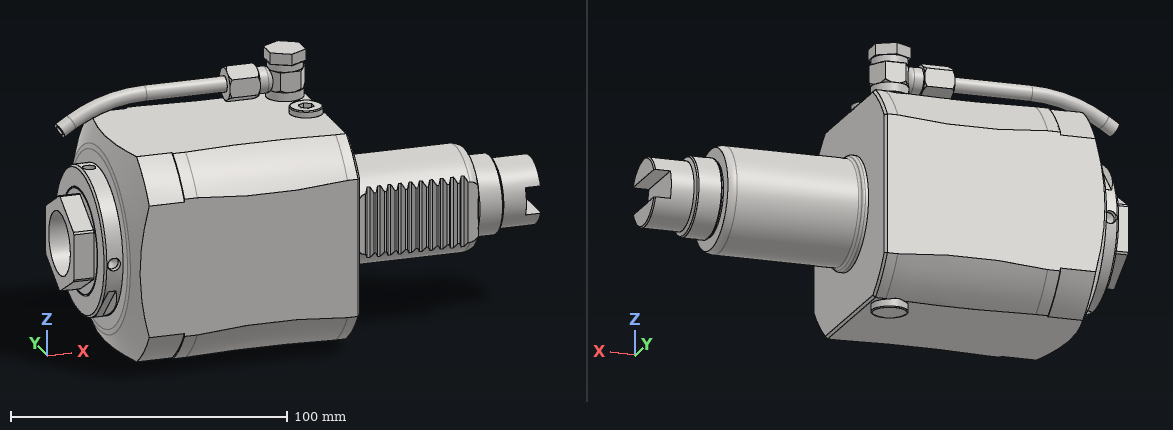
import cadquery as cq
import math


BLOCK_WIDTH = 79.0
BLOCK_LENGTH = 86.9
FACE_RADIUS = 33.0
FACE_EDGE_RADIUS = 35.0
FACE_EDGE_DEPTH = 0.4
CONE_LENGTH = 6.1
FRONT_BARREL_RADIUS = 46.9
REAR_BARREL_RADIUS = 47.5
WAIST_RADIUS = 46.6
BARREL_STEP_X = -67.3
WAIST_FRONT_X = -62.4
WAIST_REAR_X = -4.9
REAR_CHAMFER = 0.9

RING_RADIUS = 28.0
RING_LENGTH = 7.0
RING_CHAMFER = 0.8
RING_BORE_RADIUS = 20.0
RING_HOLE_DIAMETER = 4.8
RING_HOLE_DEPTH = 2.4
RING_HOLE_POINT_DEPTH = 1.4
RING_HOLE_SETBACK = 3.6
RING_SLOT_FLOOR_DISTANCE = 26.0
RING_SLOT_FLOOR_WIDTH = 2.8
RING_SLOT_MOUTH_WIDTH = 6.0

SPINDLE_RADIUS = 19.5
HEX_ACROSS_FLATS = 32.0
HEX_CORNER_RADIUS = 18.2
HEX_LENGTH = 7.7
SPINDLE_BORE_RADIUS = 12.0
SPINDLE_BORE_DEPTH = 12.0

SHOULDER_RADIUS = 21.4
SHOULDER_LENGTH = 1.2
SHANK_RADIUS = 20.0
SHANK_START_X = 3.3
SHANK_TAPER_X = 49.9
SHANK_END_X = 53.1
SHANK_END_RADIUS = 19.0
SHANK_END_ROUND = 5.7
COLLAR_RADIUS = 15.0
COLLAR_START_X = 53.7
COLLAR_END_X = 63.3
COLLAR_CHAMFER = 0.5
NECK_RADIUS = 14.2
TANG_RADIUS = 13.0
TANG_START_X = 64.0
TANG_END_X = 78.9
TANG_CHAMFER = 0.5
TANG_SLOT_WIDTH = 10.4
TANG_SLOT_DEPTH = 6.2

RACK_FLAT_Y = -16.3
RACK_RUNOUT_START_X = 5.2
RACK_FLAT_START_X = 9.8
RACK_RUNOUT_SAG = 0.9
GROOVE_COUNT = 10
GROOVE_PITCH = 4.0
FIRST_GROOVE_X = 11.6
GROOVE_DEPTH = 1.6
GROOVE_MOUTH_WIDTH = 3.2
GROOVE_FLOOR_WIDTH = 1.0

BOLT_X = -8.6
BOLT_Y = 19.9
BOLT_SHANK_RADIUS = 6.75
BOLT_TOP_Z = 57.9
BOLT_HEAD_HEIGHT = 4.4
BOLT_ACROSS_FLATS = 13.8
BOLT_TAIL_LENGTH = 3.0
BOLT_TAIL_CHAMFER = 0.4
ELBOW_ACROSS_FLATS = 13.7
ELBOW_BOTTOM_Z = 42.9
ELBOW_TOP_Z = 50.7
ELBOW_FOOT_RADIUS = 7.0
ELBOW_CHAMFER_HEIGHT = 1.0
STUB_RADIUS = 5.0
STUB_END_RADIUS = 3.8
STUB_CHAMFER_X = -16.4
STUB_END_X = -14.4
TUBE_Z = 46.5
TUBE_RADIUS = 3.0
TUBE_BORE_RADIUS = 1.8
TUBE_BORE_DEPTH = 5.0
NUT_ACROSS_FLATS = 12.0
NUT_FRONT_X = -31.6
NUT_REAR_X = -20.0
NUT_CHAMFER = 0.8
BEND_START_X = -62.4
BEND_RADIUS = 60.0
BEND_ANGLE = 29.0
BEND_TILT = 21.0
TUBE_TIP_LENGTH = 5.2

PLUG_X = -7.2
PLUG_RADIUS = 6.2
PLUG_HEIGHT = 2.6
PLUG_CHAMFER = 0.4
PLUG_SOCKET_ACROSS_FLATS = 5.0
PLUG_SOCKET_DEPTH = 2.0

HALF_WIDTH = BLOCK_WIDTH / 2
BLOCK_FRONT_X = -BLOCK_LENGTH
RING_FRONT_X = BLOCK_FRONT_X - RING_LENGTH
CONE_END_X = BLOCK_FRONT_X + CONE_LENGTH


def hex_corner_diameter(across_flats):
    return 2 * across_flats / math.sqrt(3)


def turned(profile):
    """Revolve a closed profile, drawn as (x, radius), about the X axis."""
    return profile.close().revolve(360, (0, 0, 0), (1, 0, 0))


def rod(start_x, end_x, radius, y=0.0, z=0.0):
    """Cylinder parallel to X."""
    return cq.Workplane("YZ", origin=(start_x, y, z)).circle(radius).extrude(end_x - start_x)


def make_block():
    waist_mid_x = (WAIST_FRONT_X + WAIST_REAR_X) / 2
    barrel = turned(
        cq.Workplane("XY")
        .moveTo(BLOCK_FRONT_X, 0)
        .lineTo(BLOCK_FRONT_X, FACE_RADIUS)
        .lineTo(BLOCK_FRONT_X + FACE_EDGE_DEPTH, FACE_EDGE_RADIUS)
        .lineTo(CONE_END_X, FRONT_BARREL_RADIUS)
        .lineTo(BARREL_STEP_X, FRONT_BARREL_RADIUS)
        .lineTo(BARREL_STEP_X, REAR_BARREL_RADIUS)
        .lineTo(WAIST_FRONT_X, REAR_BARREL_RADIUS)
        .threePointArc((waist_mid_x, WAIST_RADIUS), (WAIST_REAR_X, REAR_BARREL_RADIUS))
        .lineTo(0, REAR_BARREL_RADIUS)
        .lineTo(0, 0)
    )
    bar = cq.Workplane("YZ").rect(BLOCK_WIDTH, BLOCK_WIDTH).extrude(-BLOCK_LENGTH)
    return bar.intersect(barrel).faces(">X").edges().chamfer(REAR_CHAMFER)


def make_ring():
    ring = rod(RING_FRONT_X, BLOCK_FRONT_X, RING_RADIUS).faces("<X").edges().chamfer(RING_CHAMFER)
    wrench_x = RING_FRONT_X + RING_HOLE_SETBACK
    hole_radius = RING_HOLE_DIAMETER / 2
    shoulder_z = RING_RADIUS - RING_HOLE_DEPTH
    hole = (
        cq.Workplane("XZ")
        .moveTo(0, shoulder_z - RING_HOLE_POINT_DEPTH)
        .lineTo(hole_radius, shoulder_z)
        .lineTo(hole_radius, shoulder_z + 2 * RING_HOLE_DEPTH)
        .lineTo(0, shoulder_z + 2 * RING_HOLE_DEPTH)
        .close()
        .revolve(360, (0, 0, 0), (0, 1, 0))
        .translate((wrench_x, 0, 0))
    )
    slot_depth = RING_RADIUS - RING_SLOT_FLOOR_DISTANCE
    slot = (
        cq.Workplane("XZ", origin=(wrench_x, RING_RADIUS, RING_SLOT_FLOOR_DISTANCE))
        .moveTo(-RING_SLOT_FLOOR_WIDTH / 2, 0)
        .lineTo(RING_SLOT_FLOOR_WIDTH / 2, 0)
        .lineTo(RING_SLOT_MOUTH_WIDTH / 2, slot_depth)
        .lineTo(-RING_SLOT_MOUTH_WIDTH / 2, slot_depth)
        .close()
        .extrude(2 * RING_RADIUS)
    )
    for quarter in range(4):
        ring = ring.cut(hole.rotate((0, 0, 0), (1, 0, 0), 90 * quarter))
    for angle in (-45, 135):
        ring = ring.cut(slot.rotate((0, 0, 0), (1, 0, 0), angle))
    return ring


def make_shank():
    blend_middle = ((SHOULDER_LENGTH + SHANK_START_X) / 2, (SHOULDER_RADIUS + SHANK_RADIUS) / 2)
    shank = turned(
        cq.Workplane("XY")
        .moveTo(0, 0)
        .lineTo(0, SHOULDER_RADIUS)
        .lineTo(SHOULDER_LENGTH, SHOULDER_RADIUS)
        .tangentArcPoint(blend_middle, relative=False)
        .tangentArcPoint((SHANK_START_X, SHANK_RADIUS), relative=False)
        .lineTo(SHANK_TAPER_X, SHANK_RADIUS)
        .radiusArc((SHANK_END_X, SHANK_END_RADIUS), SHANK_END_ROUND)
        .lineTo(SHANK_END_X, NECK_RADIUS)
        .lineTo(COLLAR_START_X, NECK_RADIUS)
        .lineTo(COLLAR_START_X, COLLAR_RADIUS - COLLAR_CHAMFER)
        .lineTo(COLLAR_START_X + COLLAR_CHAMFER, COLLAR_RADIUS)
        .lineTo(COLLAR_END_X - COLLAR_CHAMFER, COLLAR_RADIUS)
        .lineTo(COLLAR_END_X, COLLAR_RADIUS - COLLAR_CHAMFER)
        .lineTo(TANG_START_X, TANG_RADIUS)
        .lineTo(TANG_END_X - TANG_CHAMFER, TANG_RADIUS)
        .lineTo(TANG_END_X, TANG_RADIUS - TANG_CHAMFER)
        .lineTo(TANG_END_X, 0)
    )
    tang_slot = cq.Workplane("XY").box(2 * TANG_SLOT_DEPTH, 4 * TANG_RADIUS, TANG_SLOT_WIDTH)
    return shank.cut(tang_slot.translate((TANG_END_X, 0, 0))).cut(make_rack_cutter())


def make_rack_cutter():
    outside_y = -2 * SHANK_RADIUS
    cutter = (
        cq.Workplane("XY", origin=(0, 0, -SHANK_RADIUS))
        .moveTo(RACK_RUNOUT_START_X, outside_y)
        .lineTo(RACK_RUNOUT_START_X, -SHANK_RADIUS)
        .sagittaArc((RACK_FLAT_START_X, RACK_FLAT_Y), RACK_RUNOUT_SAG)
        .lineTo(SHANK_END_X, RACK_FLAT_Y)
        .lineTo(SHANK_END_X, outside_y)
        .close()
        .extrude(2 * SHANK_RADIUS)
    )
    groove = (
        cq.Workplane("XY", origin=(0, RACK_FLAT_Y, -SHANK_RADIUS))
        .moveTo(-GROOVE_MOUTH_WIDTH / 2, 0)
        .lineTo(-GROOVE_FLOOR_WIDTH / 2, GROOVE_DEPTH)
        .lineTo(GROOVE_FLOOR_WIDTH / 2, GROOVE_DEPTH)
        .lineTo(GROOVE_MOUTH_WIDTH / 2, 0)
        .close()
        .extrude(2 * SHANK_RADIUS)
    )
    for index in range(GROOVE_COUNT):
        cutter = cutter.union(groove.translate((FIRST_GROOVE_X + index * GROOVE_PITCH, 0, 0)))
    return cutter


def make_coolant_bolt():
    """Hollow bolt through the block, with the hexagonal elbow under its head."""
    tail_z = -HALF_WIDTH - BOLT_TAIL_LENGTH
    bolt = (
        cq.Workplane("XY", origin=(BOLT_X, BOLT_Y, tail_z))
        .circle(BOLT_SHANK_RADIUS)
        .extrude(BOLT_TOP_Z - tail_z)
        .faces("<Z")
        .edges()
        .chamfer(BOLT_TAIL_CHAMFER)
    )
    head = (
        cq.Workplane("XY", origin=(BOLT_X, BOLT_Y, BOLT_TOP_Z))
        .transformed(rotate=(0, 0, 30))
        .polygon(6, hex_corner_diameter(BOLT_ACROSS_FLATS))
        .extrude(-BOLT_HEAD_HEIGHT)
    )
    corner_radius = hex_corner_diameter(ELBOW_ACROSS_FLATS) / 2
    elbow = (
        cq.Workplane("XY", origin=(BOLT_X, BOLT_Y, ELBOW_BOTTOM_Z))
        .polygon(6, 2 * corner_radius)
        .extrude(ELBOW_TOP_Z - ELBOW_BOTTOM_Z)
    )
    envelope = (
        cq.Workplane("XY", origin=(BOLT_X, BOLT_Y, ELBOW_BOTTOM_Z))
        .circle(corner_radius)
        .extrude(ELBOW_TOP_Z - ELBOW_BOTTOM_Z)
        .faces("<Z")
        .edges()
        .chamfer(ELBOW_CHAMFER_HEIGHT, corner_radius - ELBOW_FOOT_RADIUS)
    )
    foot = (
        cq.Workplane("XY", origin=(BOLT_X, BOLT_Y, HALF_WIDTH))
        .circle(ELBOW_FOOT_RADIUS)
        .extrude(ELBOW_BOTTOM_Z - HALF_WIDTH)
    )
    return bolt.union(head).union(elbow.intersect(envelope)).union(foot)


def make_union_nut():
    """Union nut and the round stub that joins it to the elbow."""
    length = NUT_REAR_X - NUT_FRONT_X
    corner_radius = hex_corner_diameter(NUT_ACROSS_FLATS) / 2
    nut = (
        cq.Workplane("YZ", origin=(NUT_FRONT_X, BOLT_Y, TUBE_Z))
        .transformed(rotate=(0, 0, 30))
        .polygon(6, 2 * corner_radius)
        .extrude(length)
    )
    envelope = rod(NUT_FRONT_X, NUT_REAR_X, corner_radius, BOLT_Y, TUBE_Z)
    nut = nut.intersect(envelope.edges("%CIRCLE").chamfer(NUT_CHAMFER))
    stub = turned(
        cq.Workplane("XY")
        .moveTo(NUT_REAR_X, 0)
        .lineTo(NUT_REAR_X, STUB_RADIUS)
        .lineTo(STUB_CHAMFER_X, STUB_RADIUS)
        .tangentArcPoint((STUB_END_X, STUB_END_RADIUS), relative=False)
        .lineTo(BOLT_X, STUB_END_RADIUS)
        .lineTo(BOLT_X, 0)
    ).translate((0, BOLT_Y, TUBE_Z))
    return nut.union(stub)


def make_tube():
    """Straight tube with a bent tip, built in the XZ plane and then tilted about its own axis."""
    angle = math.radians(BEND_ANGLE)
    straight = rod(BEND_START_X, NUT_FRONT_X, TUBE_RADIUS)
    bend = (
        cq.Workplane("YZ", origin=(BEND_START_X, 0, 0))
        .circle(TUBE_RADIUS)
        .revolve(BEND_ANGLE, (0, -BEND_RADIUS, 0), (-1, -BEND_RADIUS, 0))
    )
    bend_end = cq.Vector(
        BEND_START_X - BEND_RADIUS * math.sin(angle),
        0,
        -BEND_RADIUS * (1 - math.cos(angle)),
    )
    direction = cq.Vector(-math.cos(angle), 0, -math.sin(angle))
    tip = cq.Solid.makeCylinder(TUBE_RADIUS, TUBE_TIP_LENGTH, bend_end, direction)
    tip_end = bend_end + direction * TUBE_TIP_LENGTH
    bore = cq.Solid.makeCylinder(TUBE_BORE_RADIUS, TUBE_BORE_DEPTH, tip_end, direction * -1)
    tube = straight.union(bend).union(cq.Workplane(tip)).cut(cq.Workplane(bore))
    return tube.rotate((0, 0, 0), (1, 0, 0), -BEND_TILT).translate((0, BOLT_Y, TUBE_Z))


def make_plug():
    return (
        cq.Workplane("XY", origin=(PLUG_X, 0, HALF_WIDTH))
        .circle(PLUG_RADIUS)
        .extrude(PLUG_HEIGHT)
        .faces(">Z")
        .edges()
        .chamfer(PLUG_CHAMFER)
        .faces(">Z")
        .workplane()
        .transformed(rotate=(0, 0, 30))
        .polygon(6, hex_corner_diameter(PLUG_SOCKET_ACROSS_FLATS))
        .cutBlind(-PLUG_SOCKET_DEPTH)
    )


def make_housing():
    housing = make_block().union(make_ring()).union(make_shank())
    housing = housing.cut(rod(RING_FRONT_X, BLOCK_FRONT_X, RING_BORE_RADIUS))
    for fitting in (make_coolant_bolt(), make_union_nut(), make_tube(), make_plug()):
        housing = housing.union(fitting)
    return housing


def make_spindle():
    """Journal seated in the ring recess, carrying a hexagonal nose with a blind bore."""
    hexagon = (
        cq.Workplane("YZ", origin=(RING_FRONT_X, 0, 0))
        .transformed(rotate=(0, 0, 30))
        .polygon(6, hex_corner_diameter(HEX_ACROSS_FLATS))
        .extrude(-HEX_LENGTH)
    )
    nose_x = RING_FRONT_X - HEX_LENGTH
    nose = hexagon.intersect(rod(nose_x, RING_FRONT_X, HEX_CORNER_RADIUS))
    journal = rod(RING_FRONT_X, BLOCK_FRONT_X, SPINDLE_RADIUS)
    bore = rod(nose_x, nose_x + SPINDLE_BORE_DEPTH, SPINDLE_BORE_RADIUS)
    return journal.union(nose).cut(bore)


housing = make_housing()
spindle = make_spindle()
result = cq.Compound.makeCompound([housing.val(), spindle.val()])